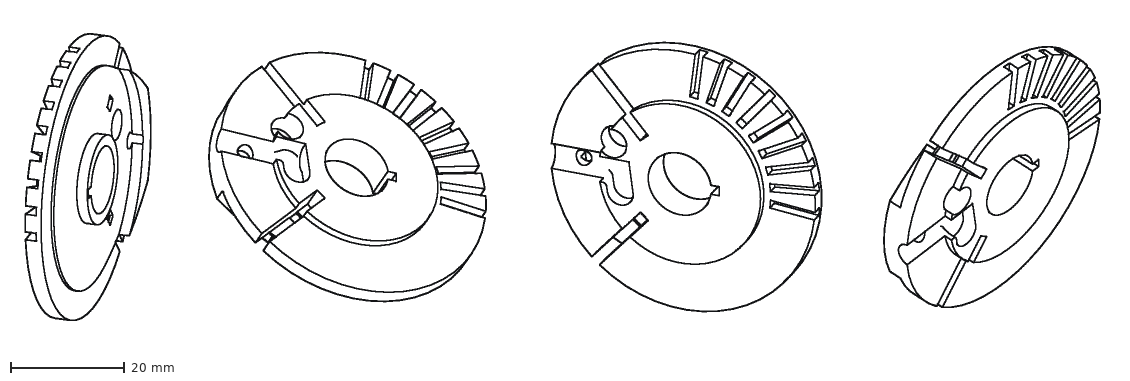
import cadquery as cq
import math

hub_thickness = 1.5
plate_thickness = 3.0
pad_thickness = 0.5
boss_height = 2.0
plate_front = hub_thickness
plate_back = plate_front + plate_thickness
pad_back = plate_back + pad_thickness
overall_depth = pad_back + boss_height

plate_radius = 25.3
hub_radius = 15.5
boss_radius = 8.0
bore_radius = 6.05
pad_radius = 20.05
lug_inner_radius = 21.0

key_width = 1.7
key_reach = 7.55

flank_radius = 50.0
flank_start_angle = 19.2

groove_count = 9
groove_first_angle = -5
groove_pitch_angle = 11
groove_width = 1.5
groove_depth = 2.05
groove_inner_radius = 16.75

slot_angle = 48.6
slot_width = 2.0
slot_inner_radius = 10.3
window_inner_radius = 13.2

channel_radius = 2.5
channel_axis_depth = 1.0
pocket_center_y = 11.9
pocket_length = 3.85
pocket_tilt = 7.6
pocket_floor = 3.0
pocket_edge_radius = 0.75
rim_margin = 0.05

pin_hole_radius = 1.45
pin_hole_y = 19.8
side_hole_radius = 2.75
side_hole_y = 12.9
side_hole_z = 5.45


def plane_at(x):
    """YZ sketch plane at station x, extruding toward +X."""
    return cq.Workplane("YZ", origin=(x, 0, 0))


def disc(radius, x_start, x_end):
    return plane_at(x_start).circle(radius).extrude(x_end - x_start)


def radial_bar(angle, inner, outer, width, x_start, x_end):
    """Rectangular bar pointing outward at an angle measured from +Y toward +Z."""
    bar = plane_at(x_start).center((inner + outer) / 2, 0).rect(outer - inner, width)
    return bar.extrude(x_end - x_start).rotate((0, 0, 0), (1, 0, 0), angle)


def pad_body(x_start, x_end):
    """Pad circle spread on its +Y side by two tangent flank arcs, trimmed to the plate."""
    start = math.radians(flank_start_angle)
    start_y = pad_radius * math.sin(start)
    start_z = pad_radius * math.cos(start)
    center_y = (pad_radius - flank_radius) * math.sin(start)
    center_z = (pad_radius - flank_radius) * math.cos(start)

    def flank_z(y):
        return center_z + math.sqrt(flank_radius**2 - (y - center_y) ** 2)

    end_y = plate_radius
    end_z = flank_z(end_y)
    middle_y = (start_y + end_y) / 2
    middle_z = flank_z(middle_y)
    outline = (
        plane_at(x_start)
        .moveTo(start_y, start_z)
        .threePointArc((middle_y, middle_z), (end_y, end_z))
        .lineTo(end_y, -end_z)
        .threePointArc((middle_y, -middle_z), (start_y, -start_z))
        .threePointArc((-pad_radius, 0), (start_y, start_z))
        .close()
        .extrude(x_end - x_start)
    )
    return outline.intersect(disc(plate_radius, x_start, x_end))


def channel_and_pocket():
    """U-shaped channel ending on the pocket's tilted inner side, joined to the obround pocket."""
    channel = (
        cq.Workplane("XZ", origin=(channel_axis_depth, 0, 0))
        .circle(channel_radius)
        .extrude(-plate_radius)
        .union(
            cq.Workplane("XY")
            .box(channel_axis_depth, plate_radius, 2 * channel_radius, centered=(False, False, True))
        )
    )
    keep = (
        cq.Workplane("XY")
        .box(overall_depth, plate_radius, plate_radius, centered=(False, False, True))
        .translate((0, -channel_radius, 0))
        .rotate((0, 0, 0), (1, 0, 0), -pocket_tilt)
        .translate((0, pocket_center_y, 0))
    )
    channel = channel.intersect(keep)

    pocket = (
        plane_at(0)
        .slot2D(pocket_length + 2 * channel_radius, 2 * channel_radius, 90)
        .extrude(pocket_floor)
        .translate((0, 0, -pocket_length / 2))
        .rotate((0, 0, 0), (1, 0, 0), -pocket_tilt)
        .translate((0, pocket_center_y, 0))
    )
    cavity = channel.union(pocket)

    rim_region = cq.selectors.BoxSelector(
        (rim_margin, pocket_center_y - channel_radius / 2, -channel_radius - rim_margin),
        (pocket_floor + rim_margin, pocket_center_y + channel_radius, channel_radius - rim_margin),
    )
    return cavity.edges(rim_region).edges("not %CIRCLE").fillet(pocket_edge_radius)


def through_hole(radius, y, z):
    return plane_at(0).center(y, z).circle(radius).extrude(overall_depth)


def bore_and_keyway():
    keyway = radial_bar(180, 0, key_reach, key_width, 0, overall_depth)
    return disc(bore_radius, 0, overall_depth).union(keyway)


def index_grooves():
    grooves = cq.Workplane("YZ")
    for index in range(groove_count):
        angle = 180 - groove_first_angle - index * groove_pitch_angle
        grooves = grooves.add(
            radial_bar(
                angle,
                groove_inner_radius,
                plate_radius + groove_width,
                groove_width,
                plate_front,
                plate_front + groove_depth,
            )
        )
    return grooves.combine()


def radial_slot(angle):
    """Slot down to the pad, with a window through the part just inside the hub rim."""
    outer = plate_radius + slot_width
    slot = radial_bar(angle, slot_inner_radius, outer, slot_width, 0, plate_back)
    window = radial_bar(angle, window_inner_radius, hub_radius, slot_width, 0, overall_depth)
    return slot.union(window.intersect(disc(hub_radius, 0, overall_depth)))


lug = pad_body(pad_back, overall_depth).cut(disc(lug_inner_radius, pad_back, overall_depth))
body = (
    disc(hub_radius, 0, plate_front)
    .union(disc(plate_radius, plate_front, plate_back))
    .union(pad_body(plate_back, pad_back))
    .union(lug)
    .union(disc(boss_radius, pad_back, overall_depth))
)

result = (
    body.cut(channel_and_pocket())
    .cut(bore_and_keyway())
    .cut(through_hole(pin_hole_radius, pin_hole_y, 0))
    .cut(through_hole(side_hole_radius, side_hole_y, side_hole_z))
    .cut(index_grooves())
    .cut(radial_slot(slot_angle))
    .cut(radial_slot(-slot_angle))
)